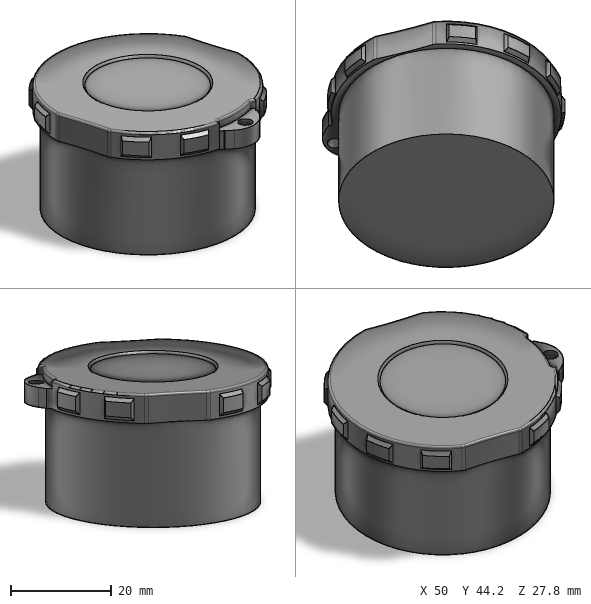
import cadquery as cq
import math

overall_length = 49.95
total_height = 27.8
cap_height = 6.05
cap_base = total_height - cap_height

body_diameter = 43.0

cap_radius = 23.0
side_face_half_spacing = 22.1
side_face_hollow = 0.2
side_corner_radius = 2.25
rim_fillet = 0.5

recess_diameter = 25.95
recess_floor_diameter = 25.05
recess_depth = 0.55

pad_outer_radius = 23.75
pad_base_width = 6.15
pad_face_width = 5.35
pad_base_height = 4.55
pad_face_height = 3.05
pad_base_gap = 0.5
pad_root_depth = 0.5
pad_pitch = 30
pads_left_out = (0, 90, 270)
pad_angles = [angle for angle in range(0, 360, pad_pitch) if angle not in pads_left_out]

lug_height = 4.1
lug_tip_x = overall_length - pad_outer_radius
lug_tip_radius = 6.1
lug_root_half_width = 5.65
lug_root_fillet = 0.7
lug_hole_x = 24.05
lug_hole_diameter = 3.0

step_radius = 22.05
step_half_width = 6.25
step_corner_radius = 0.9


def make_body():
    return cq.Workplane("XY").circle(body_diameter / 2).extrude(total_height - recess_depth)


def make_cap_blank():
    """Disc with a shallow concave face on the +Y and -Y sides."""
    end_x = math.sqrt(cap_radius**2 - side_face_half_spacing**2)
    face_y = side_face_half_spacing
    middle_y = face_y - side_face_hollow
    return (
        cq.Workplane("XY", origin=(0, 0, cap_base))
        .moveTo(end_x, -face_y)
        .threePointArc((cap_radius, 0), (end_x, face_y))
        .threePointArc((0, middle_y), (-end_x, face_y))
        .threePointArc((-cap_radius, 0), (-end_x, -face_y))
        .threePointArc((0, -middle_y), (end_x, -face_y))
        .close()
        .extrude(cap_height)
        .edges("|Z")
        .fillet(side_corner_radius)
    )


def make_lug_step():
    """Cutter that lowers the rim above the lug, with rounded inner corners."""
    outside = 2 * cap_radius
    ring = (
        cq.Workplane("XY", origin=(0, 0, cap_base + lug_height))
        .circle(outside)
        .circle(step_radius)
        .extrude(cap_height)
    )
    slab = (
        cq.Workplane("XY", origin=(outside / 2, 0, cap_base + lug_height))
        .rect(outside, 2 * step_half_width)
        .extrude(cap_height)
    )
    inner_corners = cq.selectors.BoxSelector((0, -outside, 0), (cap_radius, outside, 2 * total_height))
    return ring.intersect(slab).edges("|Z").edges(inner_corners).fillet(step_corner_radius)


def make_lug():
    """Ear with a filleted root and 45 degree sides that run tangent into a round tip."""
    tip_center_x = lug_tip_x - lug_tip_radius
    tangent_offset = lug_tip_radius * math.sin(math.pi / 4)
    tangent_x = tip_center_x + tangent_offset
    shoulder_x = tangent_x + tangent_offset - lug_root_half_width

    fillet_center_y = lug_root_half_width + lug_root_fillet
    fillet_center_distance = cap_radius + lug_root_fillet
    fillet_center_x = math.sqrt(fillet_center_distance**2 - fillet_center_y**2)
    rim_x = fillet_center_x * cap_radius / fillet_center_distance
    rim_y = fillet_center_y * cap_radius / fillet_center_distance

    return (
        cq.Workplane("XY", origin=(0, 0, cap_base))
        .moveTo(fillet_center_x, -lug_root_half_width)
        .lineTo(shoulder_x, -lug_root_half_width)
        .lineTo(tangent_x, -tangent_offset)
        .threePointArc((lug_tip_x, 0), (tangent_x, tangent_offset))
        .lineTo(shoulder_x, lug_root_half_width)
        .lineTo(fillet_center_x, lug_root_half_width)
        .tangentArcPoint((rim_x, rim_y), relative=False)
        .lineTo(0, 0)
        .lineTo(rim_x, -rim_y)
        .tangentArcPoint((fillet_center_x, -lug_root_half_width), relative=False)
        .close()
        .extrude(lug_height)
    )


def make_lug_hole():
    return (
        cq.Workplane("XY", origin=(lug_hole_x, 0, cap_base))
        .circle(lug_hole_diameter / 2)
        .extrude(lug_height)
    )


def make_pad():
    """One pad on the +X side: a turned bevelled band trimmed by two sloping sides."""
    inner_radius = cap_radius - pad_root_depth
    middle_z = cap_base + pad_base_gap + pad_base_height / 2
    band = (
        cq.Workplane("XZ", origin=(0, 0, middle_z))
        .moveTo(inner_radius, -pad_base_height / 2)
        .lineTo(cap_radius, -pad_base_height / 2)
        .lineTo(pad_outer_radius, -pad_face_height / 2)
        .lineTo(pad_outer_radius, pad_face_height / 2)
        .lineTo(cap_radius, pad_base_height / 2)
        .lineTo(inner_radius, pad_base_height / 2)
        .close()
        .revolve(360, (0, 0, 0), (0, 1, 0))
    )
    base_x = math.sqrt(cap_radius**2 - (pad_base_width / 2) ** 2)
    face_x = math.sqrt(pad_outer_radius**2 - (pad_face_width / 2) ** 2)
    side_slope = (pad_base_width - pad_face_width) / 2 / (face_x - base_x)

    def half_width(x):
        return pad_base_width / 2 - side_slope * (x - base_x)

    root_x = base_x - pad_root_depth
    end_x = pad_outer_radius + pad_root_depth
    wedge = (
        cq.Workplane("XY", origin=(0, 0, cap_base))
        .moveTo(root_x, -half_width(root_x))
        .lineTo(end_x, -half_width(end_x))
        .lineTo(end_x, half_width(end_x))
        .lineTo(root_x, half_width(root_x))
        .close()
        .extrude(cap_height)
    )
    return band.intersect(wedge)


def make_recess():
    return (
        cq.Workplane("XY", origin=(0, 0, total_height))
        .circle(recess_diameter / 2)
        .workplane(offset=-recess_depth)
        .circle(recess_floor_diameter / 2)
        .loft()
    )


cap = make_cap_blank().cut(make_lug_step()).faces(">Z").edges().fillet(rim_fillet)
result = cap.union(make_body()).union(make_lug())
pad = make_pad()
for angle in pad_angles:
    result = result.union(pad.rotate((0, 0, 0), (0, 0, 1), angle))
result = result.cut(make_recess()).cut(make_lug_hole())